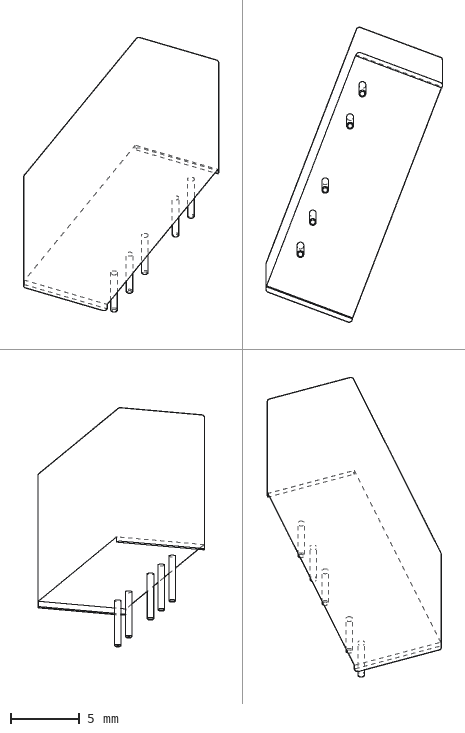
import cadquery as cq

case_width = 6.7
case_length = 19.0
case_height = 10.16
edge_radius = 0.25
foot_height = 0.4
foot_length = 0.35

overall_height = 13.2
pin_diameter = 0.5
pin_tip_chamfer = 0.08
pin_row_x = 2.1
pin_pitch = 2.55
first_pin_y = -5.5
pin_positions = (0, 1, 2, 4, 5)
pin_embed = 0.19

pin_drop = overall_height - case_height


def make_case():
    """Case with its feet resting on Z = 0."""
    block = cq.Workplane("XY").box(case_width, case_length, case_height, centered=(True, True, False))
    block = block.edges("|Z or >Z").fillet(edge_radius)
    gap_length = case_length - 2 * foot_length
    gap = cq.Workplane("XY").box(case_width, gap_length, foot_height, centered=(True, True, False))
    return block.cut(gap)


def make_pin(y):
    """Round pin with a chamfered lower tip."""
    pin_length = pin_drop + foot_height + pin_embed
    pin = cq.Workplane("XY").circle(pin_diameter / 2).extrude(pin_length)
    pin = pin.faces("<Z").chamfer(pin_tip_chamfer)
    return pin.translate((pin_row_x, y, -pin_drop))


result = make_case()
for position in pin_positions:
    result = result.union(make_pin(first_pin_y + position * pin_pitch))